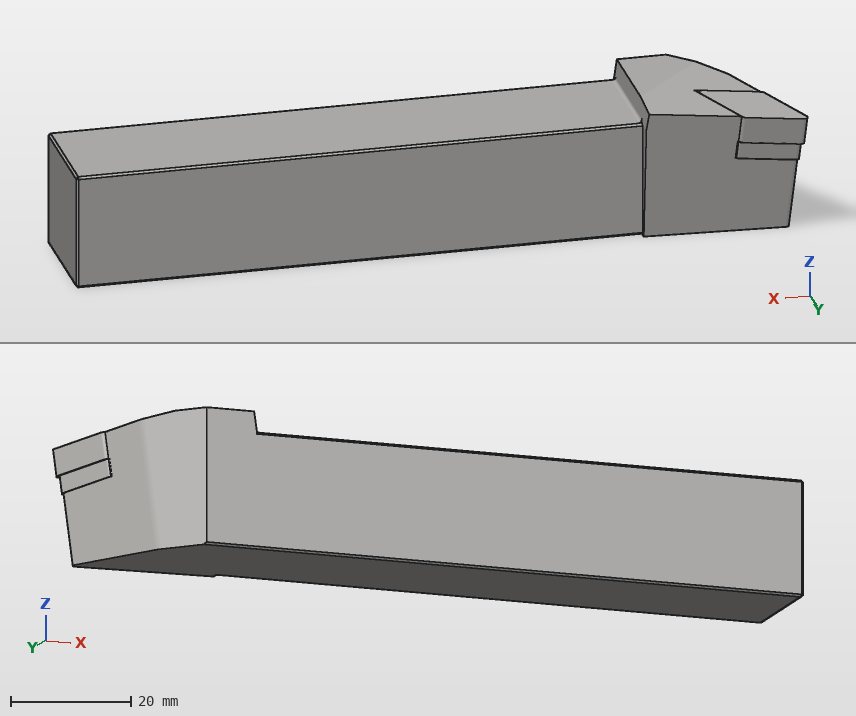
import cadquery as cq
import math

overall_length = 124.3
shank_size = 20.0
shank_chamfer = 0.4

head_height = 23.5
step_top_x = 26.7
step_foot_x = 27.2
step_fillet = 0.6
side_start_x = 18.3
head_reach = 37.3

hinge_y = 4.1
rake_angle = 7.7

inscribed_circle = 9.6
insert_thickness = 4.7
diamond_angle = 55.0
corner_radius = 0.7
back_edge_angle = -48.5
flank_angle = back_edge_angle - diamond_angle
tip_u = 4.2
tip_v = 25.5
insert_edge = inscribed_circle / math.sin(math.radians(diamond_angle))

seat_thickness = 3.1
seat_setback = 0.2
head_setback = 0.4
front_corner_radius = 5.0

rake = math.radians(rake_angle)
down_slope = math.sin(rake) / math.sqrt(2)
rake_plane = cq.Plane(
    origin=(side_start_x - hinge_y, hinge_y, head_height),
    xDir=(1, 1, 0),
    normal=(-down_slope, down_slope, math.cos(rake)),
)


def move(point, angle, distance):
    """Point reached from `point` by going `distance` at `angle` degrees."""
    direction = math.radians(angle)
    return (point[0] + distance * math.cos(direction), point[1] + distance * math.sin(direction))


def set_back_tip(setback):
    """Acute tip after moving both cutting edges inward by `setback`."""
    bisector = back_edge_angle - diamond_angle / 2
    return move((tip_u, tip_v), bisector, setback / math.sin(math.radians(diamond_angle / 2)))


def diamond(setback, depth, thickness):
    """Sharp diamond prism below the inclined plane; its two inner edges never move."""
    edge = insert_edge - setback / math.sin(math.radians(diamond_angle))
    tip = set_back_tip(setback)
    back_corner = move(tip, back_edge_angle, edge)
    inner_corner = move(back_corner, flank_angle, edge)
    flank_corner = move(tip, flank_angle, edge)
    return (
        cq.Workplane(rake_plane)
        .workplane(offset=-depth)
        .polyline([tip, back_corner, inner_corner, flank_corner])
        .close()
        .extrude(-thickness)
    )


def rounded_diamond(setback, depth, thickness):
    prism = diamond(setback, depth, thickness)
    return prism.edges(cq.selectors.ParallelDirSelector(rake_plane.zDir)).fillet(corner_radius)


def make_shank():
    """Square bar, chamfered along its length and around its free end."""
    return (
        cq.Workplane("XY")
        .box(overall_length - step_foot_x, shank_size, shank_size, centered=False)
        .translate((step_foot_x, 0, 0))
        .edges("|X or >X")
        .chamfer(shank_chamfer)
    )


def make_head():
    """Upright block with a sloping rear step, trimmed by a prism square to the inclined top."""
    block = (
        cq.Workplane("XZ")
        .polyline(
            [
                (-head_reach, 0),
                (step_foot_x, 0),
                (step_foot_x, shank_size),
                (step_top_x, head_height),
                (-head_reach, head_height),
            ]
        )
        .close()
        .extrude(-head_reach)
        .edges("<Y and <Z")
        .chamfer(shank_chamfer)
    )

    tip = set_back_tip(head_setback)
    flank_length = tip[0] / -math.cos(math.radians(flank_angle))
    front_corner = move(tip, flank_angle, flank_length)
    envelope = (
        cq.Workplane(rake_plane)
        .polyline(
            [
                tip,
                front_corner,
                (0, -head_reach),
                (head_reach, -head_reach),
                move(tip, back_edge_angle, head_reach),
            ]
        )
        .close()
        .extrude(-head_reach)
    )
    for corner, radius in ((tip, corner_radius), (front_corner, front_corner_radius)):
        middle = rake_plane.toWorldCoords((corner[0], corner[1], -head_reach / 2))
        edge = cq.selectors.NearestToPointSelector(middle.toTuple())
        upright = cq.selectors.ParallelDirSelector(rake_plane.zDir)
        envelope = envelope.edges(upright).edges(edge).fillet(radius)
    return block.intersect(envelope)


def make_holder():
    """Shank and head, with a sharp-cornered pocket and a raised seat for the insert."""
    body = make_head().union(make_shank())
    foot = (step_foot_x, shank_size / 2, shank_size)
    body = body.edges("|Y").edges(cq.selectors.NearestToPointSelector(foot)).fillet(step_fillet)
    pocket = diamond(0, 0, insert_thickness + seat_thickness)
    seat = rounded_diamond(seat_setback, insert_thickness, seat_thickness)
    return body.cut(pocket).union(seat)


holder = make_holder()
insert = rounded_diamond(0, 0, insert_thickness)

result = cq.Compound.makeCompound([holder.solids().val(), insert.solids().val()])